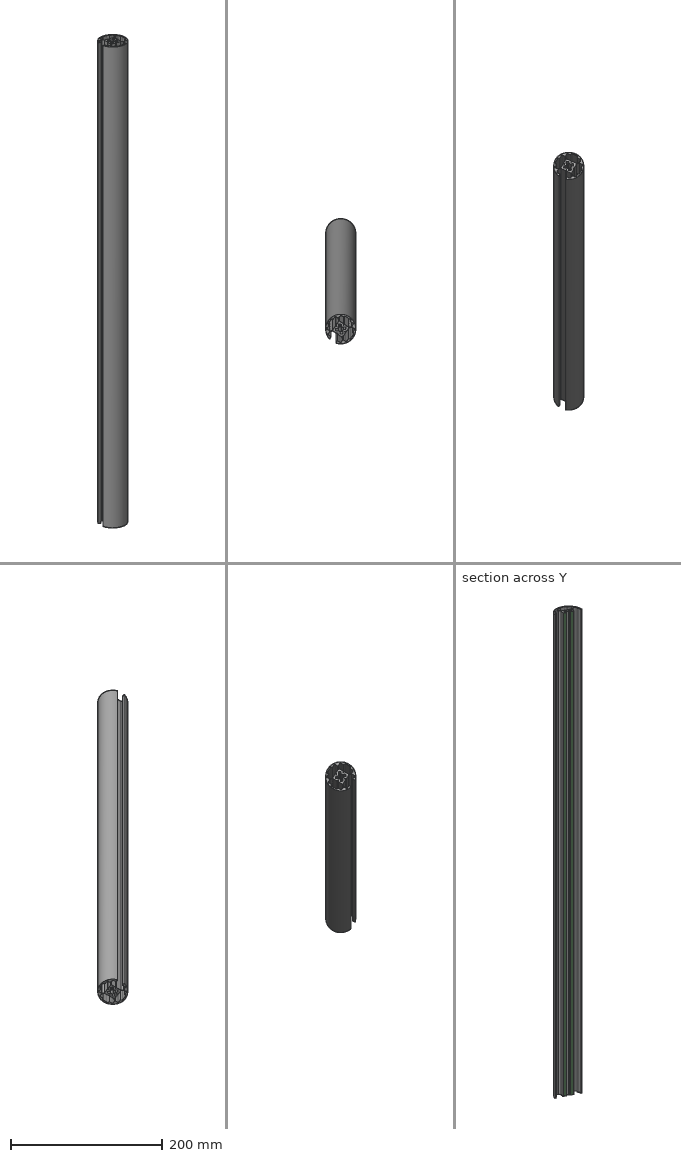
import cadquery as cq
import math

length = 700.0
outer_diameter = 40.0
outer_radius = outer_diameter / 2

core_width = 16.0
bore_radius = 3.35
lobe_radius = 1.8
lobe_center_radius = 5.05
lobe_count = 4
first_lobe_angle = 45

cavity_width = 20.0
slot_width = 10.0
lip_thickness = 4.4
closing_wall = 2.0
floor_chamfer = 3.0
floor_notch_width = 1.7
floor_notch_depth = 1.9
cavity_corner_radius = 1.1
slot_root_radius = 1.75
slot_mouth_radius = 0.4
open_groove_angle = 180
closed_groove_angles = (0, 90, 270)

floor_y = core_width / 2
lip_y = outer_radius - lip_thickness
closed_slot_y = outer_radius - closing_wall
slot_half = slot_width / 2
mouth_y = math.sqrt(outer_radius**2 - slot_half**2)


def lengthwise_edges(x, y):
    """Selector for the edge that runs along Z at (x, y)."""
    reach = 0.1
    return cq.selectors.BoxSelector((x - reach, y - reach, 0), (x + reach, y + reach, length))


def groove(slot_end_y):
    """Groove cutter on the +Y side: notched floor, wide cavity and a slot ending at slot_end_y."""
    cavity_half = cavity_width / 2
    right_side = [
        (floor_notch_width / 2, floor_y),
        (cavity_half - floor_chamfer, floor_y),
        (cavity_half, floor_y + floor_chamfer),
        (cavity_half, lip_y),
        (slot_half, lip_y),
        (slot_half, slot_end_y),
    ]
    left_side = [(-x, y) for x, y in reversed(right_side)]
    notch_bottom = (0, floor_y - floor_notch_depth)
    cutter = cq.Workplane("XY").polyline([notch_bottom] + right_side + left_side).close().extrude(length)
    for x in (-cavity_half, cavity_half):
        cutter = cutter.edges(lengthwise_edges(x, lip_y)).fillet(cavity_corner_radius)
    return cutter


def closed_groove():
    """Groove whose slot stops short of the outside, with rounded corners under the closing wall."""
    cutter = groove(closed_slot_y)
    for x in (-slot_half, slot_half):
        cutter = cutter.edges(lengthwise_edges(x, closed_slot_y)).fillet(slot_root_radius)
    return cutter


def turned(cutter, angle):
    """The cutter turned about the tube axis."""
    return cutter.rotate((0, 0, 0), (0, 0, 1), angle)


def lobed_bore():
    """Central bore with round lobes towards the corners of the core."""
    lobes = (
        cq.Workplane("XY")
        .polarArray(lobe_center_radius, first_lobe_angle, 360, lobe_count)
        .circle(lobe_radius)
        .extrude(length)
    )
    return cq.Workplane("XY").circle(bore_radius).extrude(length).union(lobes)


result = cq.Workplane("XY").circle(outer_radius).extrude(length)
for groove_angle in closed_groove_angles:
    result = result.cut(turned(closed_groove(), groove_angle))
result = result.cut(turned(groove(outer_diameter), open_groove_angle))

for mouth_x in (-slot_half, slot_half):
    result = result.edges(lengthwise_edges(mouth_x, -mouth_y)).fillet(slot_mouth_radius)

result = result.cut(lobed_bore())